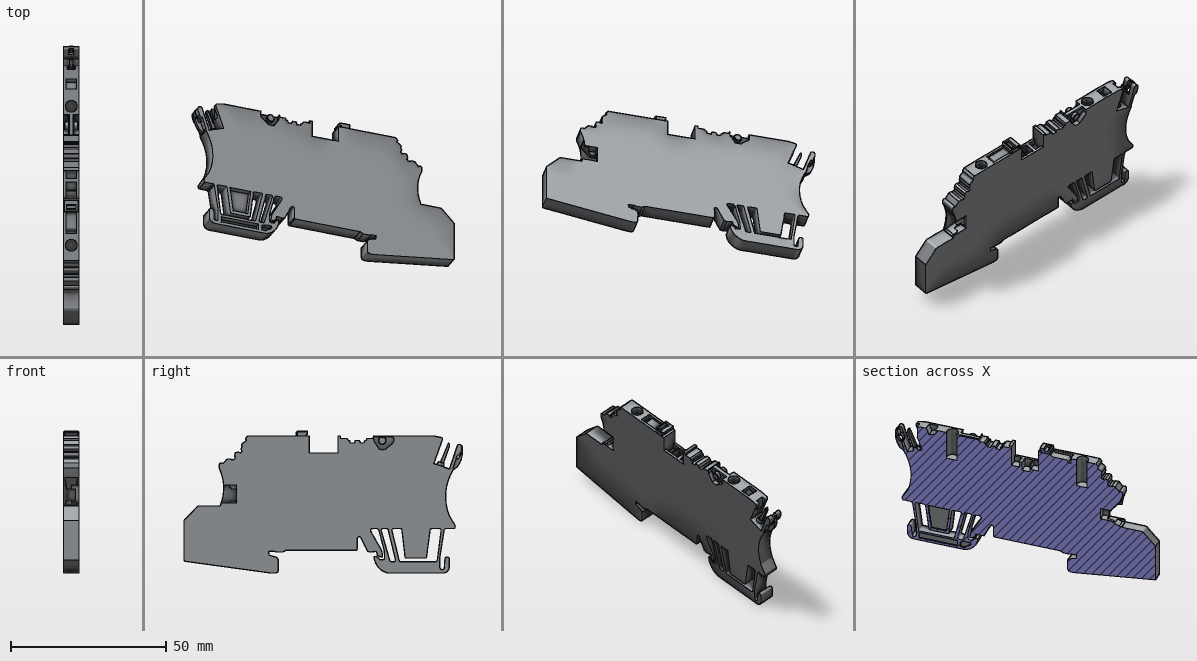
import cadquery as cq
import math


THICKNESS = 5.08
LENGTH = 89.84
HEIGHT = 45.85
HALF = THICKNESS / 2

TOP = 44.25
WINDOW_FLOOR = 38.8
RAIL_SEAT = 7.35
FOOT_TOP = 14.35
FOOT_DECK = 3.75

WINDOW_START = 40.45
WINDOW_END = 49.6

POCKET_WIDTH = 3.4
HOLE_RADIUS = 1.9
HOLE_DEPTH = 10.0
HOLE_PLACES = (25.55, 70.35)

SLIT_OUTER = (85.6, 33.65)
SLIT_INNER = (80.6, 35.35)
SLIT_MOUTH = (83.3, 42.9)
SLIT_TILT = math.atan2(SLIT_INNER[1] - SLIT_OUTER[1], SLIT_OUTER[0] - SLIT_INNER[0])


def prism(start, path, x_low=-HALF, x_high=HALF):
    """Closed Y-Z outline extruded along X; a step of two points is an arc (through, end)."""
    sketch = cq.Workplane("YZ", origin=(x_low, 0, 0)).moveTo(*start)
    for step in path:
        if isinstance(step[0], tuple):
            sketch = sketch.threePointArc(*step)
        else:
            sketch = sketch.lineTo(*step)
    return sketch.close().extrude(x_high - x_low)


def centred_prism(width, start, path):
    return prism(start, path, -width / 2, width / 2)


def block(width, y_low, y_high, z_low, z_high):
    """Box centred on X."""
    size = (width, y_high - y_low, z_high - z_low)
    return cq.Workplane("XY").box(*size, centered=(True, False, False)).translate((0, y_low, z_low))



FLAP_AND_SLIT = [
    (88.05, 37.8),
    (89.0, 38.3),
    (89.55, 40.0),
    (89.55, 40.85),
    ((88.9, 41.55), (88.05, 41.0)),
    SLIT_OUTER,
    SLIT_INNER,
    SLIT_MOUTH,
    ((83.3, 43.5), (82.95, 43.8)),
    (81.45, 44.1),
    (80.75, TOP),
]

GRIP_TEETH = [
    (61.1, TOP),
    (60.9, 43.45),
    (59.05, 43.45),
    (58.7, 42.85),
    (58.3, 42.75),
    (57.95, 42.0),
    (57.0, 42.0),
    (56.5, 42.85),
    (55.15, 42.85),
    (55.0, 42.0),
    (53.6, 42.0),
    (53.45, 42.7),
    (53.0, 42.85),
    (52.6, 43.45),
    (50.55, 43.45),
    (50.55, TOP),
]

WINDOW_SIDES = [
    (WINDOW_END, TOP),
    (WINDOW_END, WINDOW_FLOOR),
    (WINDOW_START, WINDOW_FLOOR),
    (WINDOW_START, TOP),
]

STEPPED_SHOULDER = [
    (20.55, TOP),
    (19.8, 43.4),
    (20.1, 42.8),
    (19.5, 42.3),
    (19.0, 42.0),
    (18.5, 41.45),
    (18.75, 41.0),
    (18.4, 40.1),
    (18.75, 39.3),
    (18.3, 38.85),
    (17.3, 39.15),
    (16.55, 38.85),
    (16.3, 37.8),
    (16.6, 37.25),
    (16.1, 36.65),
    (15.3, 36.65),
    (15.1, 36.9),
    (13.95, 36.9),
    (13.7, 36.6),
    (12.55, 35.35),
    ((11.75, 35.5), (11.35, 34.9)),
    (11.35, 33.9),
]

PLAIN_END = [
    ((12.8, 27.95), (11.65, 21.75)),
    (5.1, 21.75),
    ((4.5, 21.6), (3.95, 21.1)),
    (0.0, 17.05),
    (0.0, 4.2),
    ((0.15, 3.95), (0.5, 3.8)),
    (27.5, 0.1),
    (28.3, 0.0),
    (29.45, 0.0),
    ((30.15, 0.3), (30.45, 1.0)),
]

FIXED_RAIL_CLAW = [
    (30.45, 4.35),
    ((29.95, 5.0), (29.2, 5.35)),
    (27.5, 5.85),
    (27.3, 7.0),
    (29.0, 7.05),
    (29.85, 6.8),
    (31.9, 6.8),
    (32.9, RAIL_SEAT),
    (55.65, RAIL_SEAT),
    (55.95, 7.75),
]

CATCH_TONGUE = [
    (55.95, 11.2),
    ((56.5, 11.7), (57.0, 11.45)),
    (59.2, 7.05),
    (60.05, 6.8),
    (62.05, 7.0),
    (62.3, 5.85),
    (63.15, 5.25),
    (64.1, 5.25),
    (63.85, 7.05),
    (63.45, 7.9),
    (60.25, 13.5),
    ((60.3, 14.1), (60.9, FOOT_TOP)),
]

SPRING_FOOT = [
    (62.3, FOOT_TOP),
    (62.85, 13.85),
    (64.55, 7.25),
    (64.65, 4.85),
    ((64.5, 4.55), (64.15, 4.4)),
    (63.15, 4.4),
    (62.2, 5.45),
    (61.25, 5.45),
    ((62.5, 2.1), (65.85, 0.0)),
    (83.6, 0.0),
    ((85.1, 0.75), (85.6, 2.2)),
    (85.6, 4.5),
    ((84.85, 5.25), (84.1, 4.5)),
    (83.9, 1.65),
    ((83.2, 1.2), (82.55, 1.8)),
    (82.55, 5.2),
    (83.9, 13.85),
    (84.25, FOOT_TOP),
]

HAND_RECESS = [
    (87.15, FOOT_TOP),
    ((87.45, 14.9), (87.4, 15.5)),
    (85.55, 18.6),
    ((84.4, 24.7), (86.8, 33.3)),
]


def housing_plate():
    path = FLAP_AND_SLIT + GRIP_TEETH + WINDOW_SIDES + STEPPED_SHOULDER + PLAIN_END
    path = path + FIXED_RAIL_CLAW + CATCH_TONGUE + SPRING_FOOT + HAND_RECESS
    return prism((86.8, 34.05), path)



def foot_windows():
    """Two openings through the foot that leave slanted spring legs and a hanging bucket."""
    corner_radius = 0.45
    bucket_bottom = 4.85
    around_bucket = [
        (79.45, FOOT_TOP),
        (78.2, bucket_bottom),
        (71.3, bucket_bottom),
        (70.2, FOOT_TOP),
        (66.95, FOOT_TOP),
        (69.5, FOOT_DECK),
        (81.6, FOOT_DECK),
    ]
    between_legs = [
        (63.45, FOOT_TOP),
        (66.5, FOOT_DECK),
        (68.3, FOOT_DECK),
    ]
    wide = prism((82.95, FOOT_TOP), around_bucket)
    narrow = prism((65.75, FOOT_TOP), between_legs)
    return wide.add(narrow).edges("|X").fillet(corner_radius)


def foot_pockets():
    """Blind pockets sunk into the -X face: bucket, bottom bar and toe."""
    depth = 2.0
    floor = -HALF + depth
    bar_low, bar_high = 1.0, 2.9
    bucket = prism((78.4, 14.2), [(71.15, 14.2), (72.2, 5.95), (77.3, 5.95)], -HALF, floor)
    bar = prism((81.45, bar_low), [(81.45, bar_high), (68.4, bar_high), (68.4, bar_low)], -HALF, floor)
    toe_path = [(67.3, 2.65), (65.85, 3.15), (63.95, 3.15), (63.8, 2.55), (65.85, bar_low)]
    toe = prism((67.3, bar_low), toe_path, -HALF, floor)
    return bucket.add(bar).add(toe)



RIB_WIDTH = 1.1


def flap_rib():
    """Stiffening rib on the outer face of the flap; its crest is the far end of the housing."""
    path = [
        (88.25, 34.4),
        ((89.3, 36.4), (LENGTH, 38.9)),
        (LENGTH, 40.5),
        (89.6, 41.15),
        (88.9, 41.4),
        (88.05, 37.8),
        (86.6, 34.0),
    ]
    return centred_prism(RIB_WIDTH, (86.7, 33.2), path)


def flap_groove():
    """Groove in the flap's inner face."""
    groove_width = 1.6
    path = [(87.05, 37.3), (87.6, 37.1), (89.0, 41.0), (88.6, 42.5)]
    return centred_prism(groove_width, (87.0, 42.5), path)


def flap_window():
    """Opening through the lower end of the groove, on both sides of the rib."""
    window_width = 1.8
    path = [(88.3, 36.9), (89.6, 38.6), (87.55, 39.6)]
    return centred_prism(window_width, (87.05, 37.3), path)


def slit_fin():
    """Thin fin that stands on a conical root on the floor of the slit."""
    root_place = (82.65, 34.65)
    root_radius = 1.5
    root_top_radius = 0.9
    root_height = 1.1
    root_embedded = 0.55
    path = [
        (85.65, 41.7),
        (85.25, 41.95),
        (82.2, 34.7),
        (83.3, 34.3),
    ]
    fin = centred_prism(RIB_WIDTH, (85.65, 41.0), path)
    normal = cq.Vector(0, math.sin(SLIT_TILT), math.cos(SLIT_TILT))
    base = cq.Vector(0, *root_place) - normal * root_embedded
    cone = cq.Solid.makeCone(root_radius, root_top_radius, root_height + root_embedded, base, normal)
    return fin.union(cq.Workplane(obj=cone))


def slit_notch():
    """Notch in the overhanging lip of the slit, clear of the fin's root."""
    return block(2.5, 82.2, 84.0, 36.0, TOP)



def far_pocket():
    """Pocket with a steep side and a floor that rises gently toward the plain end."""
    path = [(78.05, 41.9), (75.9, 42.8), (75.9, TOP)]
    return centred_prism(POCKET_WIDTH, (79.05, TOP), path)


def cap_pocket():
    """Shallow pocket next to the marker cap: curved at the cap, with a deeper dip at the other end."""
    floor = TOP - 0.8
    dip_floor = TOP - 1.8
    path = [
        ((35.9, TOP - 0.6), (35.4, floor)),
        (31.0, floor),
        ((30.4, TOP - 1.1), (30.1, dip_floor)),
        (29.3, dip_floor),
        (29.3, TOP),
    ]
    return centred_prism(POCKET_WIDTH, (36.2, TOP), path)


def window_recesses():
    """Three recesses in the window floor, as (start, end, depth)."""
    recesses = ((WINDOW_START, 43.0, 2.0), (43.4, 46.0, 3.0), (47.1, WINDOW_END, 2.0))
    cuts = cq.Workplane("XY")
    for start, end, depth in recesses:
        cuts = cuts.add(block(POCKET_WIDTH, start, end, WINDOW_FLOOR - depth, WINDOW_FLOOR))
    return cuts


def wire_holes():
    places = [(0, y) for y in HOLE_PLACES]
    hole_floor = cq.Workplane("XY", origin=(0, 0, TOP - HOLE_DEPTH))
    return hole_floor.pushPoints(places).circle(HOLE_RADIUS).extrude(HOLE_DEPTH)



WEB_WIDTH = 1.9
WEB_CHAMFER = 0.35
PIVOT_RADIUS = 1.25
PIVOT_SPAN = 4.2
PIVOT_CHAMFER = 0.15
PIVOT_PLACE = (63.95, 42.75)


def pivot_pockets():
    """Rounded pockets on both sides of a central web."""
    path = [
        (67.7, 42.55),
        (67.25, 41.85),
        (65.0, 40.0),
        ((63.95, 39.8), (62.95, 40.0)),
        (61.25, 42.55),
        (61.1, TOP),
    ]
    whole = prism((67.6, TOP), path)
    web = block(WEB_WIDTH, 61.1, 68.0, 39.0, TOP).edges("|Y and >Z").chamfer(WEB_CHAMFER)
    return whole.cut(web)


def pivot_stubs():
    stub = cq.Workplane("YZ", origin=(-PIVOT_SPAN / 2, 0, 0)).center(*PIVOT_PLACE)
    return stub.circle(PIVOT_RADIUS).extrude(PIVOT_SPAN).faces("|X").chamfer(PIVOT_CHAMFER)



def neck_funnel():
    """Funnel in the concave neck that narrows into a blind rectangular socket."""
    outside_y, mouth_y, throat_y, socket_y = 10.0, 12.6, 15.5, 19.0
    mouth_width, mouth_low, mouth_high = 4.1, 21.95, 30.9
    throat_width, throat_low, throat_high = 2.9, 23.3, 27.1
    mouth_centre = (mouth_low + mouth_high) / 2
    throat_centre = (throat_low + throat_high) / 2
    mouth = block(mouth_width, outside_y, mouth_y, mouth_low, mouth_high)
    socket = block(throat_width, throat_y, socket_y, throat_low, throat_high)
    taper = (
        cq.Workplane("XZ", origin=(0, mouth_y, mouth_centre))
        .rect(mouth_width, mouth_high - mouth_low)
        .workplane(offset=mouth_y - throat_y)
        .center(0, throat_centre - mouth_centre)
        .rect(throat_width, throat_high - throat_low)
        .loft()
    )
    return mouth.union(taper).union(socket)


def neck_side_notch():
    """Notch that opens the funnel through the +X wall."""
    outside_y, end_y = 10.0, 17.0
    low, high = 22.7, 28.4
    path = [(outside_y, high), (end_y, high), (end_y, low)]
    return prism((outside_y, low), path, 0.0, HALF)


def make_housing():
    body = housing_plate().union(flap_rib())
    cuts = (
        foot_windows(), foot_pockets(), flap_groove(), flap_window(), slit_notch(), far_pocket(),
        cap_pocket(), window_recesses(), wire_holes(), pivot_pockets(), neck_funnel(),
        neck_side_notch(),
    )
    for cut in cuts:
        for tool in cut.vals():
            body = body.cut(cq.Workplane(obj=tool))
    return body.union(slit_fin()).union(pivot_stubs())



def make_marker_cap():
    """Cap that rests on the upper face; it has an overhanging lip and a recess in its top."""
    width = 4.9
    seat_start, seat_end = 36.2, 39.5
    lip_end = 39.9
    lip_bottom = 44.8
    edge_chamfer = 0.25
    corner_chamfer = 0.45
    recess_width = 3.2
    recess_depth = 0.8
    path = [
        (seat_end, TOP),
        (seat_end, lip_bottom),
        (lip_end, lip_bottom),
        (lip_end, HEIGHT),
        (seat_start + 0.4, HEIGHT),
        (seat_start, HEIGHT - 0.5),
    ]
    cap = centred_prism(width, (seat_start, TOP), path)
    cap = cap.faces("<Y").edges("|Z").chamfer(corner_chamfer)
    cap = cap.faces(">Z").edges("|Y").chamfer(edge_chamfer)
    recess_floor = HEIGHT - recess_depth
    recess_path = [(38.4, recess_floor), (37.4, recess_floor), (37.0, HEIGHT)]
    return cap.cut(centred_prism(recess_width, (38.6, HEIGHT), recess_path))


housing = make_housing()
marker_cap = make_marker_cap()

result = cq.Compound.makeCompound([housing.val(), marker_cap.val()])